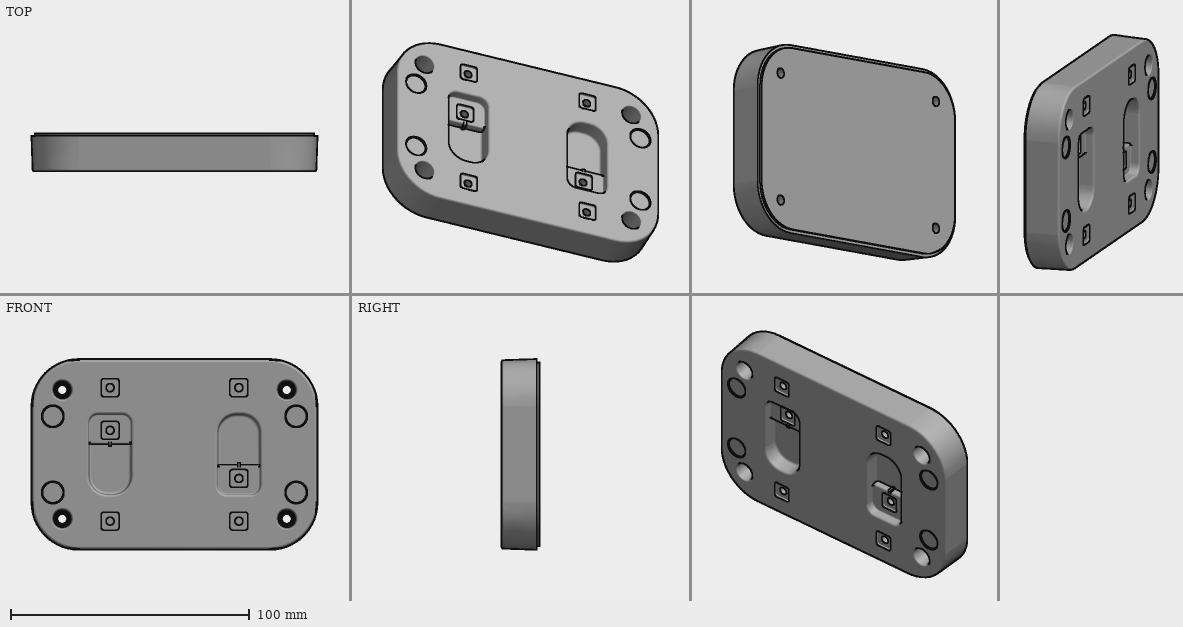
import cadquery as cq
import math

WIDTH = 120.0
HEIGHT = 80.0
DEPTH = 16.0
CORNER_RADIUS = 20.0
SIDE_DRAFT = 2.0
FRONT_FILLET = 1.0

LIP_HEIGHT = 1.1
LIP_INSET = 1.5

POCKET_X = -27.0
POCKET_DRAFT = 4.0
POCKET_WIDTH = 18.1
POCKET_HEIGHT = 34.1
POCKET_SQUARE_END_RADIUS = 4.1
POCKET_ROUND_END_RADIUS = 8.0
STEP_DEPTH = 4.0
STEP_FLOOR_FILLET = 0.5
DEEP_DEPTH = 7.0
DEEP_FLOOR_FILLET = 1.0

LEDGE_Z = 4.5
LEDGE_FILLET = 0.7
NUB_WIDTH = 1.2
NUB_REACH = 0.7

SQUARE_SIZE = 7.5
SQUARE_CORNER_RADIUS = 1.2
SQUARE_DEPTH = 1.0
SQUARE_DRAFT = 15.0
SQUARE_FLOOR_FILLET = 0.2
PIN_HOLE_DIAMETER = 3.4
PIN_HOLE_DEPTH = 4.0
OUTER_SQUARE_Z = 28.0
POCKET_SQUARE_Z = 10.1

SCREW_X = 47.0
SCREW_Z = 27.0
SCREW_MOUTH_RADIUS = 4.7
SCREW_MOUTH_FILLET = 0.5
BORE_TOP_RADIUS = SCREW_MOUTH_RADIUS - SCREW_MOUTH_FILLET
BORE_FLOOR_RADIUS = 3.5
BORE_FLOOR_CHAMFER = 0.5
BORE_DEPTH = 11.0
SCREW_RADIUS = 2.0
SCREW_CHAMFER = 0.5

PAD_X = 51.0
PAD_Z = 16.0
PAD_RADIUS = 4.7
PAD_FLOOR_RADIUS = 4.3
PAD_DEPTH = 0.5


def inward_plane(y):
    """Plane facing +Y, so that extrusions run from the front into the plate."""
    return cq.Workplane(cq.Plane(origin=(0, y, 0), xDir=(-1, 0, 0), normal=(0, 1, 0)))


def rounded_rectangle(width, height, radius):
    return cq.Sketch().rect(width, height).vertices().fillet(radius)


def plate():
    """Drafted slab, widest near the back, with a raised lip behind it."""
    slab_depth = DEPTH - LIP_HEIGHT
    slab = (
        cq.Workplane("XZ", origin=(0, slab_depth, 0))
        .placeSketch(rounded_rectangle(WIDTH, HEIGHT, CORNER_RADIUS))
        .extrude(slab_depth, taper=SIDE_DRAFT)
    )
    lip_outline = rounded_rectangle(
        WIDTH - 2 * LIP_INSET, HEIGHT - 2 * LIP_INSET, CORNER_RADIUS - LIP_INSET
    )
    lip = inward_plane(slab_depth).placeSketch(lip_outline).extrude(LIP_HEIGHT)
    return slab.union(lip)


def pocket_outline():
    """Upright outline with tight corners at the top and wide ones at the bottom."""
    return (
        cq.Sketch()
        .rect(POCKET_WIDTH, POCKET_HEIGHT)
        .vertices(">Y")
        .fillet(POCKET_SQUARE_END_RADIUS)
        .reset()
        .vertices("<Y")
        .fillet(POCKET_ROUND_END_RADIUS)
    )


def drafted_recess(outline, depth, draft, floor_fillet):
    """Solid that cuts a recess with drafted walls and a filleted floor."""
    return (
        inward_plane(0)
        .placeSketch(outline)
        .extrude(depth, taper=draft)
        .faces(">Y")
        .edges()
        .fillet(floor_fillet)
    )


def ledge_block(width, reach):
    """Block under the shallow floor; its rounded, drafted lower side is moved down by reach."""
    edge_z = LEDGE_Z - reach
    wall_drop = (DEEP_DEPTH - STEP_DEPTH) * math.tan(math.radians(POCKET_DRAFT))
    return (
        cq.Workplane("YZ", origin=(-width / 2, 0, 0))
        .moveTo(STEP_DEPTH, POCKET_HEIGHT)
        .lineTo(STEP_DEPTH, edge_z)
        .lineTo(DEEP_DEPTH, edge_z - wall_drop)
        .lineTo(DEEP_DEPTH, POCKET_HEIGHT)
        .close()
        .extrude(width)
        .edges("|X")
        .edges("<Y")
        .edges("<Z")
        .fillet(LEDGE_FILLET)
    )


def stepped_pocket():
    """Solid that cuts one pocket, centred on the plate."""
    shallow = drafted_recess(pocket_outline(), STEP_DEPTH, POCKET_DRAFT, STEP_FLOOR_FILLET)
    deep = drafted_recess(pocket_outline(), DEEP_DEPTH, POCKET_DRAFT, DEEP_FLOOR_FILLET)
    deep_top = LEDGE_Z + LEDGE_FILLET
    below_ledge = cq.Workplane("XY", origin=(0, 0, deep_top - POCKET_HEIGHT / 2)).box(
        POCKET_WIDTH, 2 * DEEP_DEPTH, POCKET_HEIGHT
    )
    ledge = ledge_block(POCKET_WIDTH, 0).union(ledge_block(NUB_WIDTH, NUB_REACH))
    return deep.intersect(below_ledge).cut(ledge).union(shallow)


def square_recess():
    """Solid that cuts a square recess and the blind hole in its floor."""
    outline = rounded_rectangle(SQUARE_SIZE, SQUARE_SIZE, SQUARE_CORNER_RADIUS)
    recess = drafted_recess(outline, SQUARE_DEPTH, SQUARE_DRAFT, SQUARE_FLOOR_FILLET)
    hole = inward_plane(0).circle(PIN_HOLE_DIAMETER / 2).extrude(SQUARE_DEPTH + PIN_HOLE_DEPTH)
    return recess.union(hole)


def turned(profile):
    """Solid of revolution about the Y axis from a closed profile in the XY plane."""
    return profile.close().revolve(360, (0, 0, 0), (0, 1, 0))


def screw_hole():
    """Solid that cuts a tapered bore with a rounded mouth and a chamfered screw hole."""
    arc_middle = SCREW_MOUTH_FILLET * math.sqrt(0.5)
    return turned(
        cq.Workplane("XY")
        .lineTo(SCREW_MOUTH_RADIUS, 0)
        .threePointArc(
            (SCREW_MOUTH_RADIUS - arc_middle, SCREW_MOUTH_FILLET - arc_middle),
            (BORE_TOP_RADIUS, SCREW_MOUTH_FILLET),
        )
        .lineTo(BORE_FLOOR_RADIUS, BORE_DEPTH - BORE_FLOOR_CHAMFER)
        .lineTo(BORE_FLOOR_RADIUS - BORE_FLOOR_CHAMFER, BORE_DEPTH)
        .lineTo(SCREW_RADIUS + SCREW_CHAMFER, BORE_DEPTH)
        .lineTo(SCREW_RADIUS, BORE_DEPTH + SCREW_CHAMFER)
        .lineTo(SCREW_RADIUS, DEPTH)
        .lineTo(0, DEPTH)
    )


def pad_recess():
    """Solid that cuts a shallow round recess with a sloping wall."""
    return turned(
        cq.Workplane("XY")
        .lineTo(PAD_RADIUS, 0)
        .lineTo(PAD_FLOOR_RADIUS, PAD_DEPTH)
        .lineTo(0, PAD_DEPTH)
    )


def four_corners(x, z):
    return [(sx * x, 0, sz * z) for sx in (-1, 1) for sz in (-1, 1)]


result = plate()

pocket = stepped_pocket().translate((POCKET_X, 0, 0))
for angle in (0, 180):
    result = result.cut(pocket.rotate((0, 0, 0), (0, 1, 0), angle))

result = result.faces("<Y").edges().fillet(FRONT_FILLET)

for place in four_corners(POCKET_X, OUTER_SQUARE_Z):
    result = result.cut(square_recess().translate(place))

for side in (-1, 1):
    place = (side * POCKET_X, STEP_DEPTH, side * POCKET_SQUARE_Z)
    result = result.cut(square_recess().translate(place))

for place in four_corners(SCREW_X, SCREW_Z):
    result = result.cut(screw_hole().translate(place))

for place in four_corners(PAD_X, PAD_Z):
    result = result.cut(pad_recess().translate(place))